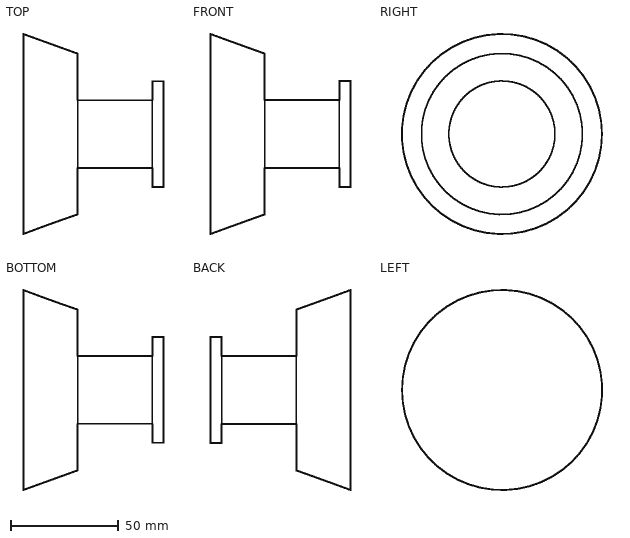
import cadquery as cq

total_length = 65.4
face_diameter = 93.5

head_length = 25.3
head_back_diameter = 75.2

neck_diameter = 31.8
flange_diameter = 49.55
flange_thickness = 5.2

flange_start = total_length - flange_thickness

half_section = [
    (0, 0),
    (0, face_diameter / 2),
    (head_length, head_back_diameter / 2),
    (head_length, neck_diameter / 2),
    (flange_start, neck_diameter / 2),
    (flange_start, flange_diameter / 2),
    (total_length, flange_diameter / 2),
    (total_length, 0),
]

result = (
    cq.Workplane("XY")
    .polyline(half_section)
    .close()
    .revolve(360, (0, 0, 0), (1, 0, 0))
)